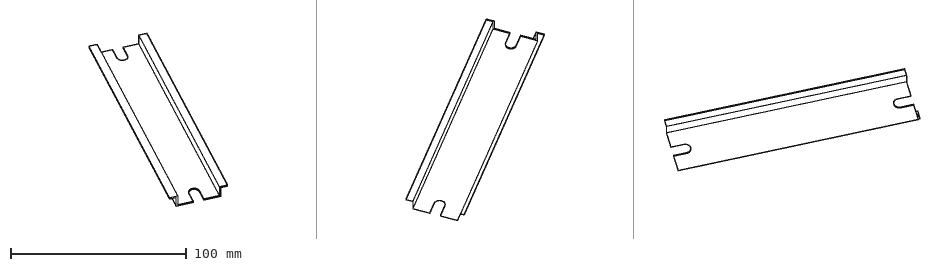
import cadquery as cq

length = 141.0
overall_width = 35.0
height = 7.5
thickness = 1.0
channel_width = 25.0

slot_width = 6.3
slot_depth = 10.9


def rail_body():
    """Extrude the bent-sheet section, centred on the origin in X and Y."""
    flange_edge = overall_width / 2
    wall_inside = channel_width / 2
    wall_outside = wall_inside + thickness
    flange_underside = height - thickness
    right_half = [
        (wall_outside, 0),
        (wall_outside, flange_underside),
        (flange_edge, flange_underside),
        (flange_edge, height),
        (wall_inside, height),
        (wall_inside, thickness),
    ]
    left_half = [(-y, z) for y, z in reversed(right_half)]
    section = cq.Workplane("YZ").polyline(right_half + left_half).close()
    return section.extrude(length / 2, both=True)


def end_slot(side):
    """Cutter for the slot at the +X (side=1) or -X (side=-1) end."""
    return (
        cq.Workplane("XY")
        .center(side * length / 2, 0)
        .slot2D(2 * slot_depth, slot_width)
        .extrude(thickness)
    )


result = rail_body()
for side in (-1, 1):
    result = result.cut(end_slot(side))